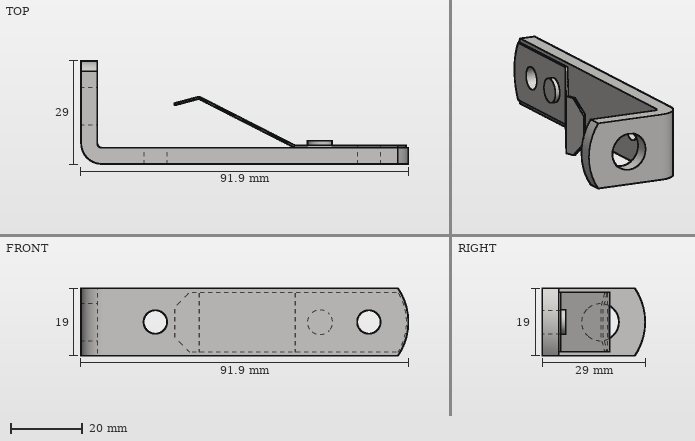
import cadquery as cq
import math

LENGTH = 91.9
LEG_HEIGHT = 29.0
WIDTH = 19.0
THICKNESS = 4.6
BEND_INNER_RADIUS = 1.3
BEND_OUTER_RADIUS = BEND_INNER_RADIUS + THICKNESS
END_RADIUS = 16.8
MID_Z = WIDTH / 2

LONG_LEG_HOLE_DIAMETER = 6.5
NEAR_HOLE_X = 20.9
HOLE_SPACING = 59.9
LONG_LEG_HOLES_X = (NEAR_HOLE_X, NEAR_HOLE_X + HOLE_SPACING)
SHORT_LEG_HOLE_DIAMETER = 10.5
SHORT_LEG_HOLE_Y = 16.3

SPRING_THICKNESS = 0.6
SPRING_WIDTH = 16.6
SPRING_END_SETBACK = 0.6
SPRING_FOOT_X = 59.9
SPRING_PEAK_X = 33.1
SPRING_TIP_X = 26.3
SPRING_RISE_ANGLE = math.radians(27)
SPRING_LIP_ANGLE = math.radians(15)
TIP_CHAMFER = 4.2

RIVET_X = 67.0
RIVET_DIAMETER = 7.0
RIVET_HEIGHT = 2.0


def rounded_end_envelope(end, end_radius, width, depth):
    """Strip from X = 0 to the end arc, centred on Y = 0 and standing on Z = 0 up to the depth."""
    half_width = width / 2
    shoulder = end - end_radius + math.sqrt(end_radius**2 - half_width**2)
    return (
        cq.Workplane("XY")
        .moveTo(0, -half_width)
        .lineTo(shoulder, -half_width)
        .threePointArc((end, 0), (shoulder, half_width))
        .lineTo(0, half_width)
        .close()
        .extrude(depth)
    )


def long_leg_envelope(width, end_setback=0):
    """Outline of the long leg in XZ, reaching through the full height in Y."""
    blank = rounded_end_envelope(LENGTH - end_setback, END_RADIUS - end_setback, width, LEG_HEIGHT)
    return blank.rotate((0, 0, 0), (1, 0, 0), -90).translate((0, 0, MID_Z))


def short_leg_envelope():
    """Outline of the short leg in YZ, reaching through the full length in X."""
    blank = rounded_end_envelope(LEG_HEIGHT, END_RADIUS, WIDTH, LENGTH)
    standing = blank.rotate((0, 0, 0), (1, 0, 0), 90).rotate((0, 0, 0), (0, 0, 1), 90)
    return standing.translate((0, 0, MID_Z))


def make_strap():
    strap = (
        cq.Workplane("XY")
        .polyline([
            (0, 0),
            (LENGTH, 0),
            (LENGTH, THICKNESS),
            (THICKNESS, THICKNESS),
            (THICKNESS, LEG_HEIGHT),
            (0, LEG_HEIGHT),
        ])
        .close()
        .extrude(WIDTH)
    )
    outer_corner = cq.selectors.NearestToPointSelector((0, 0, MID_Z))
    inner_corner = cq.selectors.NearestToPointSelector((THICKNESS, THICKNESS, MID_Z))
    strap = strap.edges("|Z").edges(outer_corner).fillet(BEND_OUTER_RADIUS)
    strap = strap.edges("|Z").edges(inner_corner).fillet(BEND_INNER_RADIUS)
    return strap.intersect(long_leg_envelope(WIDTH)).intersect(short_leg_envelope())


def make_spring():
    foot_y = THICKNESS
    peak_y = foot_y + (SPRING_FOOT_X - SPRING_PEAK_X) * math.tan(SPRING_RISE_ANGLE)
    tip_y = peak_y - (SPRING_PEAK_X - SPRING_TIP_X) * math.tan(SPRING_LIP_ANGLE)

    foot_shift = SPRING_THICKNESS * math.tan(SPRING_RISE_ANGLE / 2)
    half_turn = (SPRING_RISE_ANGLE + SPRING_LIP_ANGLE) / 2
    peak_lean = (SPRING_RISE_ANGLE - SPRING_LIP_ANGLE) / 2
    peak_offset = SPRING_THICKNESS / math.cos(half_turn)
    upper_peak = (
        SPRING_PEAK_X + peak_offset * math.sin(peak_lean),
        peak_y + peak_offset * math.cos(peak_lean),
    )
    upper_tip = (
        SPRING_TIP_X - SPRING_THICKNESS * math.sin(SPRING_LIP_ANGLE),
        tip_y + SPRING_THICKNESS * math.cos(SPRING_LIP_ANGLE),
    )
    sheet = (
        cq.Workplane("XY")
        .polyline([
            (SPRING_TIP_X, tip_y),
            (SPRING_PEAK_X, peak_y),
            (SPRING_FOOT_X, foot_y),
            (LENGTH, foot_y),
            (LENGTH, foot_y + SPRING_THICKNESS),
            (SPRING_FOOT_X + foot_shift, foot_y + SPRING_THICKNESS),
            upper_peak,
            upper_tip,
        ])
        .close()
        .extrude(WIDTH)
    )
    beyond_tip = cq.Workplane("XY").box(LENGTH, LEG_HEIGHT, WIDTH, centered=False)
    beyond_tip = beyond_tip.translate((upper_tip[0], 0, 0))
    outline = long_leg_envelope(SPRING_WIDTH, SPRING_END_SETBACK).intersect(beyond_tip)
    outline = outline.edges("|Y and <X").chamfer(TIP_CHAMFER)
    return sheet.intersect(outline)


def make_rivet():
    return rod_along_y(RIVET_X, RIVET_DIAMETER, RIVET_HEIGHT).translate((0, THICKNESS, 0))


def rod_along_y(x, diameter, length):
    rod = cq.Workplane("XZ").center(x, MID_Z).circle(diameter / 2)
    return rod.extrude(-length)


def short_leg_hole():
    circle = cq.Workplane("YZ").center(SHORT_LEG_HOLE_Y, MID_Z).circle(SHORT_LEG_HOLE_DIAMETER / 2)
    return circle.extrude(THICKNESS)


result = make_strap().union(make_spring()).union(make_rivet())
for hole_x in LONG_LEG_HOLES_X:
    result = result.cut(rod_along_y(hole_x, LONG_LEG_HOLE_DIAMETER, THICKNESS + SPRING_THICKNESS))
result = result.cut(short_leg_hole())